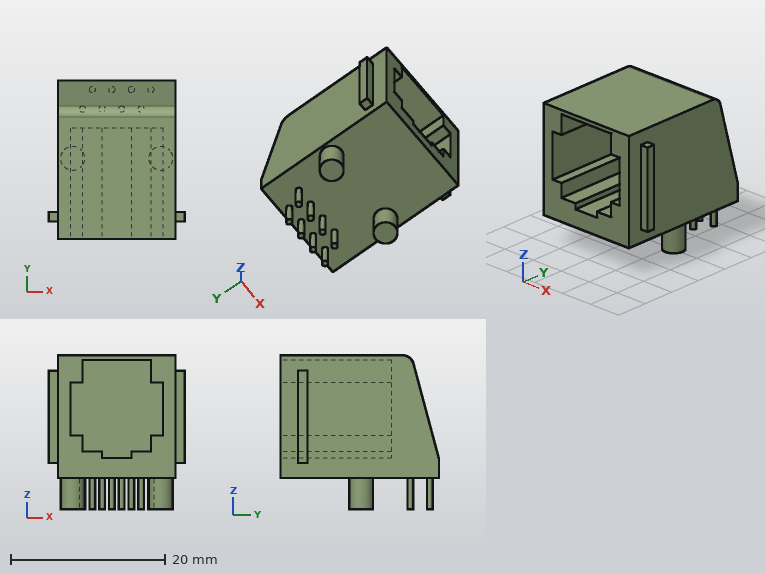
import cadquery as cq
import math


length = 20.57
width = 15.25
total_height = 20.0
body_bottom = 4.05
base_height = 2.5
base_top = body_bottom + base_height
back_lean_angle = 15.0
back_blend_radius = 1.5
back_top_edge = length - (total_height - base_top) * math.tan(math.radians(back_lean_angle))

opening_width = 11.95
opening_bottom = 9.6
opening_top = 16.44
key_width = 8.82
key_bottom = 7.49
key_top = 19.38
latch_width = 3.83
latch_bottom = 6.65
cavity_depth = 14.4

tab_span = 17.65
tab_front = 2.26
tab_thickness = 1.25
tab_bottom = 6.0
tab_height = 12.0

peg_diameter = 3.1
peg_spacing = 11.44
peg_y = 10.47
pin_diameter = 0.8
pin_count = 8
pin_row_gap = 2.53
pin_pitch = pin_row_gap / 2
back_row_inset = 1.2
front_row_y = length - back_row_inset - pin_row_gap


def front_box(box_width, bottom, top, start, depth):
    """Box centred on X, running back from the Y position start."""
    return (
        cq.Workplane("XY")
        .box(box_width, depth, top - bottom, centered=(True, False, False))
        .translate((0, start, bottom))
    )


def post(diameter, x, y):
    """Round post from the pin tips up to the underside of the housing."""
    return cq.Workplane("XY").center(x, y).circle(diameter / 2).extrude(body_bottom)


def make_housing():
    profile = [
        (0, body_bottom),
        (length, body_bottom),
        (length, base_top),
        (back_top_edge, total_height),
        (0, total_height),
    ]
    housing = cq.Workplane("YZ").polyline(profile).close().extrude(width / 2, both=True)
    return housing.faces(">Z").edges(">Y").fillet(back_blend_radius)


def make_cavity():
    steps = [
        (opening_width, opening_bottom, opening_top),
        (key_width, key_bottom, key_top),
        (latch_width, latch_bottom, key_top),
    ]
    cavity = cq.Workplane("XY")
    for step_width, bottom, top in steps:
        cavity = cavity.union(front_box(step_width, bottom, top, 0, cavity_depth))
    return cavity


tab_top = tab_bottom + tab_height
result = make_housing()
result = result.union(front_box(tab_span, tab_bottom, tab_top, tab_front, tab_thickness))
result = result.cut(make_cavity())

for side in (-1, 1):
    result = result.union(post(peg_diameter, side * peg_spacing / 2, peg_y))

for index in range(pin_count):
    pin_x = (index - (pin_count - 1) / 2) * pin_pitch
    pin_y = front_row_y + (index % 2) * pin_row_gap
    result = result.union(post(pin_diameter, pin_x, pin_y))